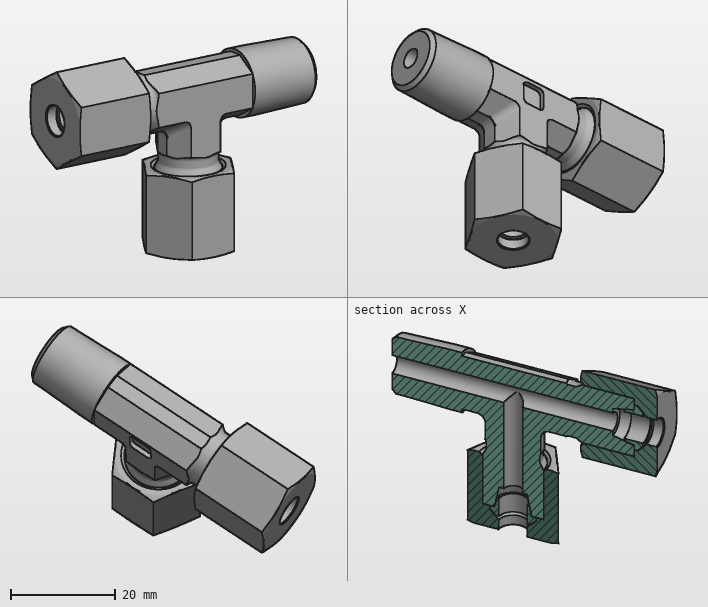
import cadquery as cq
import math


overall_length = 57
nut_reach = 31.0
stud_reach = overall_length - nut_reach

flow_diameter = 4
tube_diameter = 6.0
thread_diameter = 13.2
ring_diameter = 10.0
socket_diameter = 8
socket_half_angle = 12

bar_across_flats = 11.95
bar_across_points = 12.1
inner_corner_radius = 1.7
badge_size = 5.0
badge_corner_radius = 1.0
badge_depth = 0.95

neck_diameter = 11.7
neck_start = 12.0
bar_end_radius = 1.1
runout_start = 13.55
runout_angle = 30
runout_fillet = 0.6

collar_start = 10.95
collar_diameter = 13.6
taper_start = 14.1
stud_end_diameter = 13.0
stud_chamfer = 0.85

nut_across_flats = 17.0
nut_length = 16.5
nut_chamfer_angle = 15
nut_face_diameter = 16.9
nut_mouth_diameter = 14.5
tube_mouth_diameter = 6.4
tube_hole_length = 2.3

ring_collar_length = 0.55
ring_back_gap = 0.75
ring_nose_length = 2.3

pick_margin = 0.05

nut_back = nut_reach - nut_length
cone_top = nut_reach - tube_hole_length
cone_base = cone_top - (ring_diameter - tube_diameter) / 2
ring_back = cone_top - ring_back_gap
ring_back_diameter = tube_diameter + 2 * ring_back_gap
body_end = cone_base - ring_collar_length
socket_slope = math.tan(math.radians(socket_half_angle))
tube_stop = body_end - (socket_diameter - tube_diameter) / 2 / socket_slope


def revolve_profile(profile):
    """Turn a closed (radius, height) outline about the Z axis."""
    return profile.close().revolve(360, (0, 0), (0, 1))


def turned(points):
    """Make a solid of revolution about Z from (radius, height) corners."""
    return revolve_profile(cq.Workplane("XZ").polyline(points))


def on_run(part):
    """Swing a part from local +Z to the run, along -Y."""
    return part.rotate((0, 0, 0), (1, 0, 0), 90)


def on_branch(part):
    """Swing a part from local +Z to the branch, along -Z."""
    return part.rotate((0, 0, 0), (1, 0, 0), 180)


def hexagon(across_flats, bottom, top):
    """Hexagonal prism along Z with two flats facing +X and -X."""
    corner_diameter = across_flats / math.cos(math.pi / 6)
    prism = cq.Workplane("XY").workplane(offset=bottom).polygon(6, corner_diameter).extrude(top - bottom)
    return prism.rotate((0, 0, 0), (0, 0, 1), 30)


def bar(bottom, top):
    """Hexagonal bar with its +Y and -Y points cut off flat."""
    flattener = cq.Workplane("XY").box(
        bar_across_flats, bar_across_points, top - bottom, centered=(True, True, False)
    )
    return hexagon(bar_across_flats, bottom, top).intersect(flattener.translate((0, 0, bottom)))


def bar_end_cutter():
    """Ring that rounds the end of a bar down into the neck."""
    neck_radius = neck_diameter / 2
    outer_radius = bar_across_flats
    arc_start = neck_start - bar_end_radius
    diagonal = bar_end_radius * math.sqrt(0.5)
    arc_middle = (neck_radius + bar_end_radius - diagonal, neck_start - diagonal)
    profile = (
        cq.Workplane("XZ")
        .moveTo(neck_radius, neck_start)
        .threePointArc(arc_middle, (neck_radius + bar_end_radius, arc_start))
        .lineTo(outer_radius, arc_start)
        .lineTo(outer_radius, neck_start)
    )
    return revolve_profile(profile)


def turned_end():
    """Neck that widens into the threaded end."""
    neck_radius = neck_diameter / 2
    thread_radius = thread_diameter / 2
    runout_end = runout_start + (thread_radius - neck_radius) / math.tan(math.radians(runout_angle))
    shape = turned([
        (0, neck_start),
        (neck_radius, neck_start),
        (neck_radius, runout_start),
        (thread_radius, runout_end),
        (thread_radius, body_end),
        (0, body_end),
    ])
    runout_edge = cq.selectors.BoxSelector(
        (-neck_diameter, -neck_diameter, runout_start - pick_margin),
        (neck_diameter, neck_diameter, runout_start + pick_margin),
    )
    return shape.edges(runout_edge).fillet(runout_fillet)


def arm_bore():
    """Flow bore, tube stop and ring socket of one arm."""
    return turned([
        (0, 0),
        (flow_diameter / 2, 0),
        (flow_diameter / 2, tube_stop),
        (tube_diameter / 2, tube_stop),
        (socket_diameter / 2, body_end),
        (0, body_end),
    ])


def stud():
    """Collar and tapered thread, closed by a chamfer at the free end."""
    return turned([
        (0, collar_start),
        (collar_diameter / 2, collar_start),
        (collar_diameter / 2, taper_start),
        (stud_end_diameter / 2, stud_reach - stud_chamfer),
        (stud_end_diameter / 2 - stud_chamfer, stud_reach),
        (0, stud_reach),
    ])


def make_tee_body():
    run_bar = on_run(bar(-collar_start, neck_start))
    branch_bar = on_branch(bar(0, neck_start))
    body = run_bar.union(branch_bar)

    pick_x = bar_across_flats / 2 - pick_margin
    pick_reach = bar_across_points / 2 + pick_margin
    pick_top = -bar_across_flats / 4
    corner_edges = cq.selectors.BoxSelector((-pick_x, -pick_reach, -pick_reach), (pick_x, pick_reach, pick_top))
    body = body.edges(corner_edges).fillet(inner_corner_radius)

    for place in (on_run, on_branch):
        body = body.cut(place(bar_end_cutter())).union(place(turned_end()))
    body = body.union(stud().rotate((0, 0, 0), (1, 0, 0), -90))

    for place in (on_run, on_branch):
        body = body.cut(place(arm_bore()))
    stud_bore = cq.Workplane("XZ").circle(flow_diameter / 2).extrude(-stud_reach)
    body = body.cut(stud_bore)

    badge = cq.Workplane("YZ").rect(badge_size, badge_size).extrude(badge_depth)
    badge = badge.edges("|X").fillet(badge_corner_radius)
    return body.cut(badge.translate((-bar_across_flats / 2, 0, 0)))


def make_nut():
    corner_radius = nut_across_flats / 2 / math.cos(math.pi / 6)
    face_radius = nut_face_diameter / 2
    drop = (corner_radius - face_radius) * math.tan(math.radians(nut_chamfer_angle))
    envelope = turned([
        (0, nut_back),
        (face_radius, nut_back),
        (corner_radius, nut_back + drop),
        (corner_radius, nut_reach - drop),
        (face_radius, nut_reach),
        (0, nut_reach),
    ])
    nut = hexagon(nut_across_flats, nut_back, nut_reach).intersect(envelope)

    mouth_depth = (nut_mouth_diameter - thread_diameter) / 2
    tube_mouth_depth = (tube_mouth_diameter - tube_diameter) / 2
    cavity = turned([
        (0, nut_back),
        (nut_mouth_diameter / 2, nut_back),
        (thread_diameter / 2, nut_back + mouth_depth),
        (thread_diameter / 2, body_end),
        (ring_diameter / 2, body_end),
        (ring_diameter / 2, cone_base),
        (tube_diameter / 2, cone_top),
        (tube_diameter / 2, nut_reach - tube_mouth_depth),
        (tube_mouth_diameter / 2, nut_reach),
        (0, nut_reach),
    ])
    return nut.cut(cavity)


def make_cutting_ring():
    nose_radius = socket_diameter / 2 - ring_nose_length * socket_slope
    return turned([
        (tube_diameter / 2, ring_back),
        (ring_back_diameter / 2, ring_back),
        (ring_diameter / 2, cone_base),
        (ring_diameter / 2, body_end),
        (socket_diameter / 2, body_end),
        (nose_radius, body_end - ring_nose_length),
        (tube_diameter / 2, body_end - ring_nose_length),
    ])


tee_body = make_tee_body()
nuts = [place(make_nut()) for place in (on_run, on_branch)]
cutting_rings = [place(make_cutting_ring()) for place in (on_run, on_branch)]

result = cq.Compound.makeCompound([
    tee_body.val(),
    *[nut.val() for nut in nuts],
    *[ring.val() for ring in cutting_rings],
])